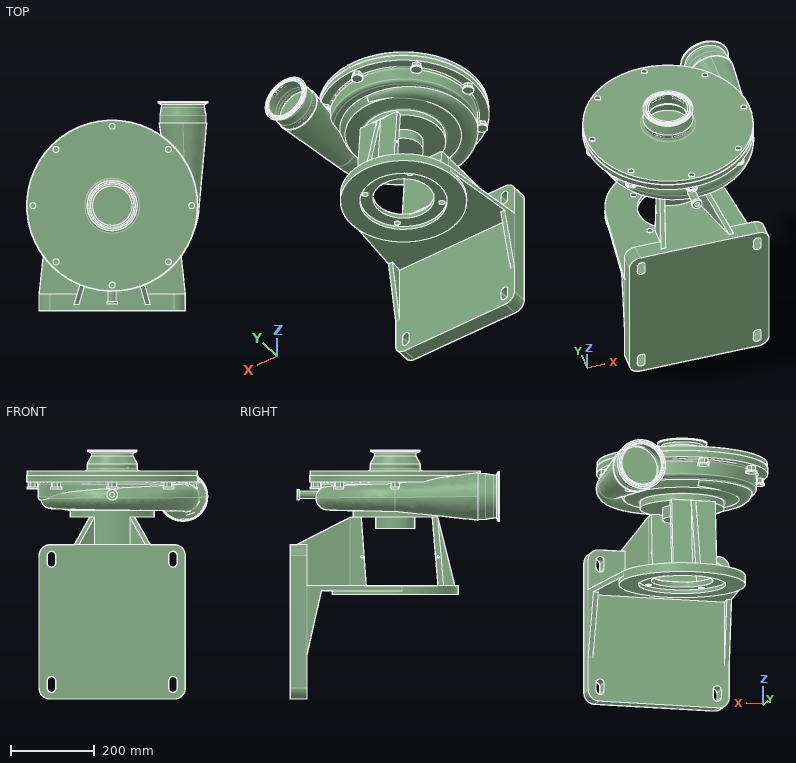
import cadquery as cq
import math


inlet_face_z = 595.0
cover_top_z = 545.5
cover_bottom_z = 534.5
flange_bottom_z = 519.0
casing_lip_z = 475.0
casing_floor_z = 458.0
disc_top_z = 451.0
disc_bottom_z = 435.0
hub_bottom_z = 407.5
shelf_top_z = 271.5
shelf_bottom_z = 259.0
base_ring_bottom_z = 250.0

cover_radius = 203.5
flange_radius = 204.5
casing_radius = 177.5
casing_lip_fillet = 8.5
casing_rim_fillet = 4.0
casing_bowl_radius = 152.5
casing_floor_radius = 140.0
casing_foot_radius = 104.0
disc_radius = 100.5
hub_radius = 47.0
bolt_count = 8
bolt_circle_radius = 190.0
bolt_hole_radius = 7.0
nut_corner_diameter = 22.5
nut_height = 16.0
nut_collar_radius = 13.5
nut_collar_height = 4.0

ferrule_flange_radius = 59.5
ferrule_flange_thickness = 3.0
neck_start = 7.0
neck_end = 13.5
body_start = 33.0
ferrule_wall = 3.0
bore_step_start = 29.0
bore_step_end = 41.5
groove_radius = 53.5
groove_width = 3.5
groove_depth = 1.0
inlet_neck_radius = 50.0
inlet_body_radius = 60.0
inlet_fillet = 5.5
outlet_neck_radius = 52.0
outlet_body_radius = 55.5

outlet_x = 169.0
outlet_z = 484.5
outlet_face_y = 249.0
outlet_joint_y = 197.5
outlet_pipe_radius = 57.0
scroll_start_angle = 90.0
scroll_end_angle = 360.0
scroll_sections = 10
scroll_start_reach = 151.0
scroll_end_reach = 208.0
scroll_start_tube = 19.0
scroll_end_tube = 33.5
scroll_start_z = 478.0
scroll_end_z = 482.0

drain_z = 488.5
drain_tip_y = -234.5
drain_root_y = -166.5
drain_bore_depth = 41.5
drain_radius = 9.5
drain_bore_radius = 6.0
drain_rim_radius = 12.5
drain_rim_thickness = 6.0

plate_width = 350.0
plate_height = 369.5
plate_thickness = 40.5
plate_front_y = -251.0
plate_back_y = plate_front_y + plate_thickness
plate_corner_radius = 27.0
slot_width = 19.5
slot_height = 37.5
slot_x = 145.0
slot_edge_distance = 35.0

shelf_radius = 151.0
shelf_opening_radius = 73.0
base_ring_inner_radius = 104.0
shelf_bolt_circle_radius = 93.0
shelf_bolt_hole_radius = 7.0
bracket_front_y = -176.0
bracket_bottom_z = 106.0
bracket_thickness = 12.0

leg_half_width = 54.0
front_leg_top_y = -81.0
front_leg_bottom_y = -69.0
rear_leg_top_y = 88.0
rear_leg_bottom_y = 102.0
rear_leg_thickness = 13.5
rear_gusset_bottom_y = 143.0
rear_gusset_thickness = 12.0
cross_hole_radius = 2.5
cross_hole_z = 340.5
front_cross_hole_y = -80.0
rear_cross_hole_y = 103.0

rib_root_y = -83.5
rib_bend_y = -107.5
rib_tip_y = -235.5
rib_tip_x = 91.0
rib_thickness = 12.0


def cylinder(radius, bottom_z, top_z):
    """Upright cylinder on the impeller axis."""
    return cq.Workplane("XY").workplane(offset=bottom_z).circle(radius).extrude(top_z - bottom_z)


def side_prism(points, half_width):
    """Prism with a (y, z) outline, centred on X = 0."""
    return cq.Workplane("YZ").polyline(points).close().extrude(half_width, both=True)


def revolve_about_z(profile):
    return profile.close().revolve(360, (0, 0, 0), (0, 1, 0))


def ferrule(neck_radius, body_radius, length):
    """Solid clamp ferrule whose face is at Z = 0 and whose body hangs downwards."""
    profile = (
        cq.Workplane("XZ")
        .lineTo(ferrule_flange_radius, 0)
        .lineTo(ferrule_flange_radius, -ferrule_flange_thickness)
        .lineTo(neck_radius, -neck_start)
        .lineTo(neck_radius, -neck_end)
        .lineTo(body_radius, -body_start)
        .lineTo(body_radius, -length)
        .lineTo(0, -length)
    )
    return revolve_about_z(profile)


def ferrule_bore(neck_radius, body_radius, length):
    """Bore and seal groove of a ferrule placed as in ferrule()."""
    neck_bore = neck_radius - ferrule_wall
    body_bore = body_radius - ferrule_wall
    profile = (
        cq.Workplane("XZ")
        .lineTo(neck_bore, 0)
        .lineTo(neck_bore, -bore_step_start)
        .lineTo(body_bore, -bore_step_end)
        .lineTo(body_bore, -length)
        .lineTo(0, -length)
    )
    groove = (
        cq.Workplane("XY")
        .circle(groove_radius + groove_width / 2)
        .circle(groove_radius - groove_width / 2)
        .extrude(-groove_depth)
    )
    return revolve_about_z(profile).union(groove)


def at_inlet(shape):
    return shape.translate((0, 0, inlet_face_z))


def at_outlet(shape):
    """Turn a ferrule to face +Y and put it on the outlet."""
    return shape.rotate((0, 0, 0), (1, 0, 0), -90).translate((outlet_x, outlet_face_y, outlet_z))


def casing():
    """Round casing body, its rim flange, the cover, the lower disc and the shaft hub."""
    arc_share = 1 - math.sqrt(0.5)
    rim_mid = arc_share * casing_rim_fillet
    lip_mid = arc_share * casing_lip_fillet
    body_profile = (
        cq.Workplane("XZ")
        .moveTo(0, flange_bottom_z)
        .lineTo(casing_radius + casing_rim_fillet, flange_bottom_z)
        .threePointArc(
            (casing_radius + rim_mid, flange_bottom_z - rim_mid),
            (casing_radius, flange_bottom_z - casing_rim_fillet),
        )
        .lineTo(casing_radius, casing_lip_z + casing_lip_fillet)
        .threePointArc(
            (casing_radius - lip_mid, casing_lip_z + lip_mid),
            (casing_radius - casing_lip_fillet, casing_lip_z),
        )
        .lineTo(casing_bowl_radius, casing_lip_z)
        .lineTo(casing_floor_radius, casing_floor_z)
        .lineTo(casing_foot_radius, disc_top_z)
        .lineTo(0, disc_top_z)
    )
    return (
        revolve_about_z(body_profile)
        .union(cylinder(flange_radius, flange_bottom_z, cover_bottom_z))
        .union(cylinder(cover_radius, cover_bottom_z, cover_top_z))
        .union(cylinder(disc_radius, disc_bottom_z, disc_top_z))
        .union(cylinder(hub_radius, hub_bottom_z, disc_bottom_z))
    )


def scroll():
    """Tube that grows around the casing, widening into the straight outlet pipe."""
    rings = []
    for index in range(scroll_sections):
        share = index / (scroll_sections - 1)
        angle = math.radians(scroll_start_angle + share * (scroll_end_angle - scroll_start_angle))
        tube = scroll_start_tube + share * (scroll_end_tube - scroll_start_tube)
        reach = scroll_start_reach + share * (scroll_end_reach - scroll_start_reach)
        center_z = scroll_start_z + share * (scroll_end_z - scroll_start_z)
        center = cq.Vector((reach - tube) * math.cos(angle), (reach - tube) * math.sin(angle), center_z)
        direction = cq.Vector(-math.sin(angle), math.cos(angle), 0)
        rings.append(cq.Wire.makeCircle(tube, center, direction))
    outlet_end = cq.Vector(outlet_x, outlet_joint_y, outlet_z)
    outlet_ring = cq.Wire.makeCircle(outlet_pipe_radius, outlet_end, cq.Vector(0, 1, 0))
    tube_solid = cq.Workplane(cq.Solid.makeLoft(rings))
    outlet_pipe = cq.Workplane(cq.Solid.makeLoft([rings[-1], outlet_ring], True))
    return tube_solid.union(outlet_pipe)


def bolt_places(height):
    """Workplane at the given height with a point on every cover bolt axis."""
    plane = cq.Workplane("XY").workplane(offset=height)
    return plane.polarArray(bolt_circle_radius, 0, 360, bolt_count)


def nuts():
    """Hexagon nuts under the rim flange, each with a round collar at its lower end."""
    nut_bottom_z = flange_bottom_z - nut_height
    hexagons = bolt_places(nut_bottom_z).polygon(6, nut_corner_diameter).extrude(nut_height)
    collars = bolt_places(nut_bottom_z).circle(nut_collar_radius).extrude(nut_collar_height)
    return hexagons.union(collars)


def cover_holes():
    return bolt_places(cover_bottom_z).circle(bolt_hole_radius).extrude(cover_top_z - cover_bottom_z)


def inlet_foot():
    """Concave fillet ring where the inlet ferrule meets the cover."""
    mid = inlet_fillet * (1 - math.sqrt(0.5))
    profile = (
        cq.Workplane("XZ")
        .moveTo(0, cover_top_z)
        .lineTo(inlet_body_radius + inlet_fillet, cover_top_z)
        .threePointArc(
            (inlet_body_radius + mid, cover_top_z + mid),
            (inlet_body_radius, cover_top_z + inlet_fillet),
        )
        .lineTo(0, cover_top_z + inlet_fillet)
    )
    return revolve_about_z(profile)


def drain_cylinder(radius, depth):
    """Cylinder along +Y on the drain axis, starting at the spout tip."""
    plane = cq.Workplane("XZ", origin=(0, drain_tip_y, drain_z))
    return plane.circle(radius).extrude(-depth)


def wall_plate():
    """Upright plate with rounded corners and four vertical slots."""
    slot_z = plate_height / 2 - slot_edge_distance
    corners = [(sx * slot_x, sz * slot_z) for sx in (-1, 1) for sz in (-1, 1)]
    middle = cq.Workplane("XZ", origin=(0, plate_front_y, plate_height / 2))
    plate = middle.rect(plate_width, plate_height).extrude(-plate_thickness)
    plate = plate.edges("|Y").fillet(plate_corner_radius)
    slots = middle.pushPoints(corners).slot2D(slot_height, slot_width, 90).extrude(-plate_thickness)
    return plate.cut(slots)


def shelf():
    """Round shelf whose sides run tangentially out to the wall plate corners."""
    corner_distance = math.hypot(plate_width / 2, plate_back_y)
    corner_angle = math.atan2(plate_back_y, plate_width / 2)
    tangent_angle = corner_angle + math.acos(shelf_radius / corner_distance)
    tangent_x = shelf_radius * math.cos(tangent_angle)
    tangent_y = shelf_radius * math.sin(tangent_angle)
    outline = (
        cq.Workplane("XY")
        .workplane(offset=shelf_bottom_z)
        .moveTo(-plate_width / 2, plate_back_y)
        .lineTo(plate_width / 2, plate_back_y)
        .lineTo(tangent_x, tangent_y)
        .threePointArc((0, shelf_radius), (-tangent_x, tangent_y))
        .close()
    )
    opening = cylinder(shelf_opening_radius, shelf_bottom_z, shelf_top_z)
    bolt_holes = (
        cq.Workplane("XY")
        .workplane(offset=shelf_bottom_z)
        .polarArray(shelf_bolt_circle_radius, 45, 360, 4)
        .circle(shelf_bolt_hole_radius)
        .extrude(shelf_top_z - shelf_bottom_z)
    )
    base_disc = cylinder(shelf_radius, base_ring_bottom_z, shelf_bottom_z)
    base_ring = base_disc.cut(cylinder(base_ring_inner_radius, base_ring_bottom_z, shelf_bottom_z))
    plate = outline.extrude(shelf_top_z - shelf_bottom_z).union(base_ring)

    bracket = side_prism(
        [
            (bracket_front_y, shelf_bottom_z),
            (plate_back_y, shelf_bottom_z),
            (plate_back_y, bracket_bottom_z),
        ],
        plate_width / 2,
    )
    edge_run = tangent_y - plate_back_y
    edge_lean = (plate_width / 2 - tangent_x) / edge_run
    back_x = plate_width / 2
    front_x = back_x - edge_lean * (bracket_front_y - plate_back_y)
    for side in (-1, 1):
        strip = (
            cq.Workplane("XY")
            .polyline(
                [
                    (side * back_x, plate_back_y),
                    (side * front_x, bracket_front_y),
                    (side * (front_x - bracket_thickness), bracket_front_y),
                    (side * (back_x - bracket_thickness), plate_back_y),
                ]
            )
            .close()
            .extrude(shelf_bottom_z)
        )
        plate = plate.union(bracket.intersect(strip))
    return plate.cut(opening).cut(bolt_holes)


def front_leg():
    """Leg with a leaning flat inner face and a round outer face."""
    block = side_prism(
        [
            (front_leg_top_y, disc_bottom_z),
            (front_leg_bottom_y, shelf_top_z),
            (-disc_radius, shelf_top_z),
            (-disc_radius, disc_bottom_z),
        ],
        leg_half_width,
    )
    return block.intersect(cylinder(disc_radius, shelf_top_z, disc_bottom_z))


def rear_leg():
    """Leaning flat leg with a triangular gusset behind it."""
    leg = side_prism(
        [
            (rear_leg_top_y, disc_bottom_z),
            (rear_leg_bottom_y, shelf_top_z),
            (rear_leg_bottom_y + rear_leg_thickness, shelf_top_z),
            (rear_leg_top_y + rear_leg_thickness, disc_bottom_z),
        ],
        leg_half_width,
    )
    gusset = side_prism(
        [
            (rear_leg_top_y, disc_bottom_z),
            (rear_leg_bottom_y, shelf_top_z),
            (rear_gusset_bottom_y, shelf_top_z),
            (rear_leg_top_y + rear_leg_thickness, disc_bottom_z),
        ],
        rear_gusset_thickness / 2,
    )
    return leg.union(gusset)


def rib_support():
    """Two splayed ribs from front leg to wall plate, with a solid web between them."""
    rib_side = side_prism(
        [
            (rib_root_y, shelf_top_z),
            (rib_root_y, disc_bottom_z),
            (rib_bend_y, disc_bottom_z),
            (rib_tip_y, plate_height),
            (plate_back_y, plate_height),
            (plate_back_y, shelf_top_z),
        ],
        rib_tip_x,
    )
    outer_edge = [(leg_half_width, rib_root_y), (leg_half_width, rib_bend_y), (rib_tip_x, rib_tip_y)]
    inner_edge = [(x - rib_thickness, y) for x, y in reversed(outer_edge)]
    support = (
        cq.Workplane("XY")
        .workplane(offset=shelf_top_z)
        .polyline(
            [
                (-leg_half_width, rib_root_y),
                (leg_half_width, rib_root_y),
                (leg_half_width, rib_bend_y),
                (rib_tip_x, rib_tip_y),
                (-rib_tip_x, rib_tip_y),
                (-leg_half_width, rib_bend_y),
            ]
        )
        .close()
        .extrude(plate_height - shelf_top_z)
    ).intersect(rib_side)
    for side in (-1, 1):
        outline = [(side * x, y) for x, y in outer_edge + inner_edge]
        wall = cq.Workplane("XY").polyline(outline).close().extrude(disc_bottom_z)
        support = support.union(wall.intersect(rib_side))
    return support


def leg_cross_holes():
    """Small holes running along X through both legs."""
    return (
        cq.Workplane("YZ")
        .pushPoints([(front_cross_hole_y, cross_hole_z), (rear_cross_hole_y, cross_hole_z)])
        .circle(cross_hole_radius)
        .extrude(leg_half_width, both=True)
    )


inlet_length = inlet_face_z - cover_top_z
outlet_length = outlet_face_y - outlet_joint_y

blower = (
    casing()
    .union(scroll())
    .union(nuts())
    .union(at_inlet(ferrule(inlet_neck_radius, inlet_body_radius, inlet_length)))
    .union(inlet_foot())
    .union(at_outlet(ferrule(outlet_neck_radius, outlet_body_radius, outlet_length)))
    .union(drain_cylinder(drain_radius, drain_root_y - drain_tip_y))
    .union(drain_cylinder(drain_rim_radius, drain_rim_thickness))
    .cut(cover_holes())
    .cut(at_inlet(ferrule_bore(inlet_neck_radius, inlet_body_radius, inlet_face_z - cover_bottom_z)))
    .cut(at_outlet(ferrule_bore(outlet_neck_radius, outlet_body_radius, outlet_length)))
    .cut(drain_cylinder(drain_bore_radius, drain_bore_depth))
)
legs = front_leg().union(rear_leg()).union(rib_support()).cut(leg_cross_holes())

result = wall_plate().union(shelf()).union(legs).union(blower)